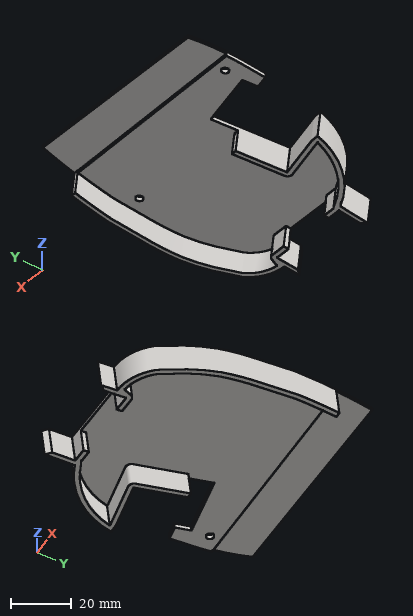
import cadquery as cq

TILT_ANGLE = 6.5
PLATE_THICKNESS = 1.0
LAYER_THICKNESS = 1.0
TOTAL_DEPTH = 11.1
WALL_THICKNESS = 2.0
HOLE_DIAMETER = 2.7
HOLE_CENTERS = [(6.4, 74.7), (76.1, 57.7)]
MARGIN = 4.8

WIDTH = 83.9
BACK_LEFT = (2.7, 93.1)
BACK_RIGHT = (78.9, 95.8)
NOTCH_BACK_OUTER = (6.3, 67.7)
ARM_INNER_TIP = (5.3, 61.85)
ARM_TIP = (0, 62.8)
ARM_SHOULDER = (0, 72.7)
NOTCH_BACK_INNER = (28.8, 63.8)
NOTCH_FRONT_INNER = (23.8, 34.9)
NOTCH_FRONT_OUTER = (6.0, 38.2)
HORN_TIP = (2.7, 38.2)
FRONT_LEFT = (25.2, 11.8)

LEFT_TAB_INNER = (27.3, 10.8)
RIGHT_TAB_INNER = (59.8, 11.9)
RIGHT_TAB_OUTER = (61.7, 7.4)
LEFT_TAB_TIP = [(27.5, 1.9), (25.6, 0)]
RIGHT_TAB_TIP = [(RIGHT_TAB_OUTER[0], 1.2), (RIGHT_TAB_INNER[0], 3.2)]

LAYER_BACK_LEFT = 78.7
LAYER_BACK_RIGHT = 80.4
NOTCH_WALL_END = 53.75
SKIRT_SPLIT_X = 66.7
FRONT_OPENING_LEFT = 32.6
FRONT_OPENING_RIGHT = 53.75
FRONT_OPENING_DEPTH = 19.1


def walled_edges():
    """Outline from the back right corner, around the front, to the inner back corner of the notch."""
    return (
        cq.Workplane("XY")
        .moveTo(*BACK_RIGHT)
        .threePointArc((81.9, 80.4), (WIDTH, 63.9))
        .lineTo(WIDTH, 46.4)
        .threePointArc((83.6, 40.7), (82.9, 35.1))
        .threePointArc((80.6, 26.6), (77.1, 18.6))
        .lineTo(75.4, 14.9)
        .threePointArc((69.4, 9.5), RIGHT_TAB_OUTER)
        .lineTo(*RIGHT_TAB_INNER)
        .lineTo(*LEFT_TAB_INNER)
        .lineTo(*FRONT_LEFT)
        .threePointArc((9.4, 23.5), HORN_TIP)
        .lineTo(*NOTCH_FRONT_OUTER)
        .lineTo(*NOTCH_FRONT_INNER)
        .lineTo(*NOTCH_BACK_INNER)
    )


def body_outline():
    """Plate outline without the two front tabs."""
    return (
        walled_edges()
        .lineTo(*NOTCH_BACK_OUTER)
        .lineTo(*ARM_INNER_TIP)
        .lineTo(*ARM_TIP)
        .lineTo(*ARM_SHOULDER)
        .threePointArc((0.7, 82.8), BACK_LEFT)
        .close()
    )


def prism(points, depth):
    """Solid hanging from Z = 0 to the given depth below a closed polygon."""
    return cq.Workplane("XY").polyline(points).close().extrude(-depth)


def make_layer():
    """Second sheet thickness, ending at a slanted line short of the back edge."""
    depth = PLATE_THICKNESS + LAYER_THICKNESS
    region = prism(
        [
            (-MARGIN, -MARGIN),
            (WIDTH + MARGIN, -MARGIN),
            (WIDTH + MARGIN, LAYER_BACK_RIGHT),
            (-MARGIN, LAYER_BACK_LEFT),
        ],
        depth,
    )
    return body_outline().extrude(-depth).intersect(region)


def make_skirt():
    """Perimeter wall along the right, the front and the lower part of the notch."""
    outer = walled_edges().close().extrude(-TOTAL_DEPTH)
    inner = walled_edges().close().offset2D(-WALL_THICKNESS).extrude(-TOTAL_DEPTH)
    ring = outer.cut(inner)
    region = prism(
        [
            (-MARGIN, -MARGIN),
            (WIDTH + MARGIN, -MARGIN),
            (WIDTH + MARGIN, LAYER_BACK_RIGHT),
            (SKIRT_SPLIT_X, LAYER_BACK_RIGHT),
            (SKIRT_SPLIT_X, NOTCH_WALL_END),
            (-MARGIN, NOTCH_WALL_END),
        ],
        TOTAL_DEPTH,
    )
    opening = prism(
        [
            (FRONT_OPENING_LEFT, 0),
            (FRONT_OPENING_RIGHT, 0),
            (FRONT_OPENING_RIGHT, FRONT_OPENING_DEPTH),
            (FRONT_OPENING_LEFT, FRONT_OPENING_DEPTH),
        ],
        TOTAL_DEPTH,
    )
    return ring.intersect(region).cut(opening)


def make_tabs():
    """Two full-depth front tabs with bevelled tips."""
    left = prism([FRONT_LEFT, LEFT_TAB_INNER] + LEFT_TAB_TIP, TOTAL_DEPTH)
    right_root = (RIGHT_TAB_OUTER[0], RIGHT_TAB_INNER[1])
    right = prism([RIGHT_TAB_INNER, right_root] + RIGHT_TAB_TIP, TOTAL_DEPTH)
    return left.union(right)


plate = body_outline().extrude(-PLATE_THICKNESS)
holes = cq.Workplane("XY").pushPoints(HOLE_CENTERS).circle(HOLE_DIAMETER / 2).extrude(-TOTAL_DEPTH)
flat_part = plate.union(make_layer()).union(make_skirt()).union(make_tabs()).cut(holes)

result = flat_part.rotate((0, 0, 0), (1, 0, 0), TILT_ANGLE)